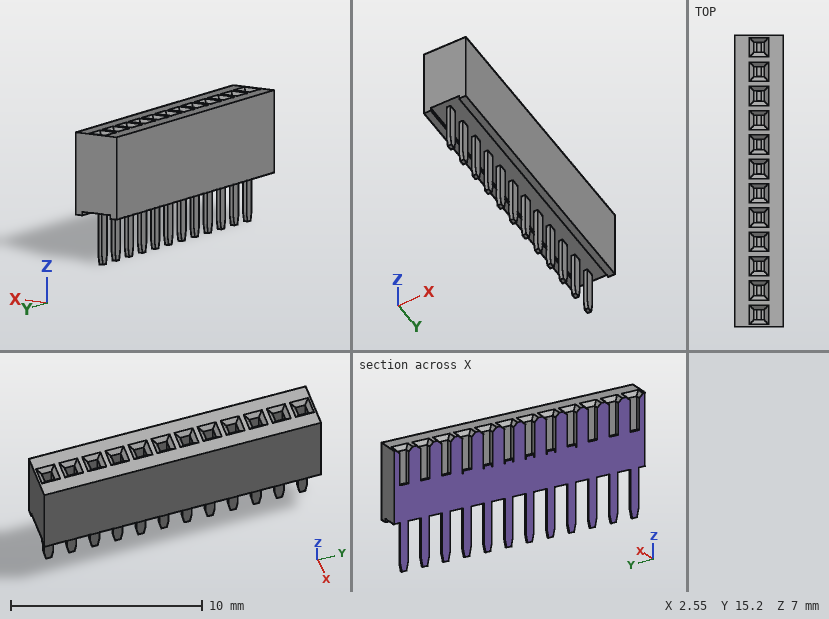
import cadquery as cq

contact_count = 12
body_length = 15.24
body_width = 2.55
total_height = 7.0
pitch = body_length / contact_count

pin_drop = 2.6
pin_thickness = 0.23
pin_width = 0.5
tip_width = 0.3
tip_length = 0.5

body_height = total_height - pin_drop
foot_width = 0.41
foot_height = 0.2

mouth_size = 1.0
cavity_size = 0.53
lead_in_depth = 0.23
cavity_depth = body_height / 2
cavity_floor = body_height - cavity_depth
pin_rise = 0.15

contact_places = [(i - (contact_count - 1) / 2) * pitch for i in range(contact_count)]


def make_housing():
    """Plain block with a full-length channel underneath that leaves two feet."""
    block = cq.Workplane("XY").box(body_width, body_length, body_height, centered=(True, True, False))
    channel_width = body_width - 2 * foot_width
    channel = cq.Workplane("XY").box(channel_width, body_length, foot_height, centered=(True, True, False))
    return block.cut(channel)


def make_socket():
    """Cutting shape for one socket."""
    lead_in = (
        cq.Workplane("XY", origin=(0, 0, body_height))
        .rect(mouth_size, mouth_size)
        .workplane(offset=-lead_in_depth)
        .rect(cavity_size, cavity_size)
        .loft()
    )
    cavity = (
        cq.Workplane("XY", origin=(0, 0, cavity_floor))
        .rect(cavity_size, cavity_size)
        .extrude(cavity_depth - lead_in_depth)
    )
    return lead_in.union(cavity)


def make_pin():
    """Flat pin with a tapered tip, reaching up just past the cavity floor."""
    pin_top = cavity_floor + pin_rise
    half_width = pin_width / 2
    half_tip = tip_width / 2
    outline = [
        (-half_width, pin_top),
        (-half_width, tip_length - pin_drop),
        (-half_tip, -pin_drop),
        (half_tip, -pin_drop),
        (half_width, tip_length - pin_drop),
        (half_width, pin_top),
    ]
    return cq.Workplane("YZ").polyline(outline).close().extrude(pin_thickness / 2, both=True)


result = make_housing()
socket = make_socket()
pin = make_pin()
for y in contact_places:
    result = result.cut(socket.translate((0, y, 0)))
    result = result.union(pin.translate((0, y, 0)))